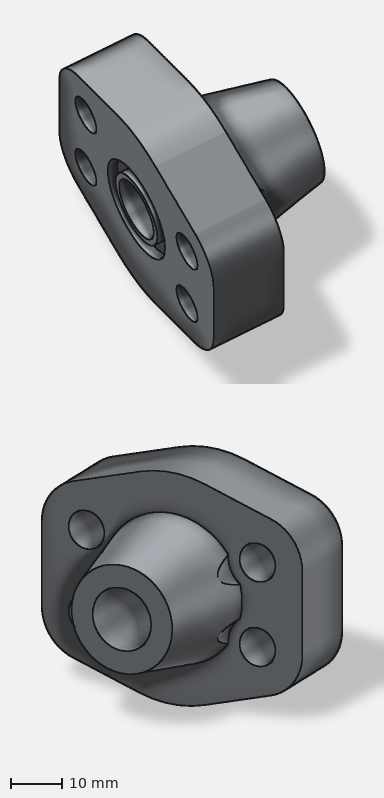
import cadquery as cq
import math

plate_width = 58.0
plate_height = 48.0
plate_thickness = 16.0

bolt_x = 19.0
bolt_z = 8.75
bolt_hole_diameter = 7.95
bolt_clearance_radius = 6.5

total_depth = 36.0
neck_length = total_depth - plate_thickness
neck_base_diameter = 31.15
neck_tip_diameter = 22.4
bore_diameter = 13.0

groove_outer_diameter = 21.6
groove_inner_diameter = 15.65
groove_depth = 2.2

end_radius = plate_height / 2
corner_radius = plate_width / 2 - bolt_x

bolt_points = [(sx * bolt_x, sz * bolt_z) for sx in (-1, 1) for sz in (-1, 1)]


def cylinder_along_y(points, diameter, start, length):
    """Cylinders running toward +Y from Y = start, centred on (x, z) points."""
    plane = cq.Workplane("XZ", origin=(0, start, 0))
    return plane.pushPoints(points).circle(diameter / 2).extrude(-length)


def make_plate():
    bolt_distance = math.hypot(bolt_x, bolt_z)
    bolt_angle = math.atan2(bolt_z, bolt_x)
    tangent_angle = bolt_angle + math.acos((end_radius - corner_radius) / bolt_distance)
    end_x = end_radius * math.cos(tangent_angle)
    end_z = end_radius * math.sin(tangent_angle)
    corner_x = bolt_x + corner_radius * math.cos(tangent_angle)
    corner_z = bolt_z + corner_radius * math.sin(tangent_angle)
    corner_mid_x = bolt_x + corner_radius * math.cos(tangent_angle / 2)
    corner_mid_z = bolt_z + corner_radius * math.sin(tangent_angle / 2)
    side_x = plate_width / 2

    return (
        cq.Workplane("XZ")
        .moveTo(side_x, -bolt_z)
        .lineTo(side_x, bolt_z)
        .threePointArc((corner_mid_x, corner_mid_z), (corner_x, corner_z))
        .lineTo(end_x, end_z)
        .threePointArc((0, end_radius), (-end_x, end_z))
        .lineTo(-corner_x, corner_z)
        .threePointArc((-corner_mid_x, corner_mid_z), (-side_x, bolt_z))
        .lineTo(-side_x, -bolt_z)
        .threePointArc((-corner_mid_x, -corner_mid_z), (-corner_x, -corner_z))
        .lineTo(-end_x, -end_z)
        .threePointArc((0, -end_radius), (end_x, -end_z))
        .lineTo(corner_x, -corner_z)
        .threePointArc((corner_mid_x, -corner_mid_z), (side_x, -bolt_z))
        .close()
        .extrude(-plate_thickness)
    )


def make_neck():
    """Cone behind the plate, scalloped to clear the bolt heads."""
    cone = cq.Workplane(
        cq.Solid.makeCone(
            neck_base_diameter / 2,
            neck_tip_diameter / 2,
            neck_length,
            pnt=cq.Vector(0, plate_thickness, 0),
            dir=cq.Vector(0, 1, 0),
        )
    )
    scallops = cylinder_along_y(bolt_points, 2 * bolt_clearance_radius, plate_thickness, neck_length)
    return cone.cut(scallops)


def make_groove():
    ring = cq.Workplane("XZ").circle(groove_outer_diameter / 2).circle(groove_inner_diameter / 2)
    return ring.extrude(-groove_depth)


bore = cylinder_along_y([(0, 0)], bore_diameter, 0, total_depth)
bolt_holes = cylinder_along_y(bolt_points, bolt_hole_diameter, 0, plate_thickness)

result = make_plate().union(make_neck()).cut(bore).cut(bolt_holes).cut(make_groove())